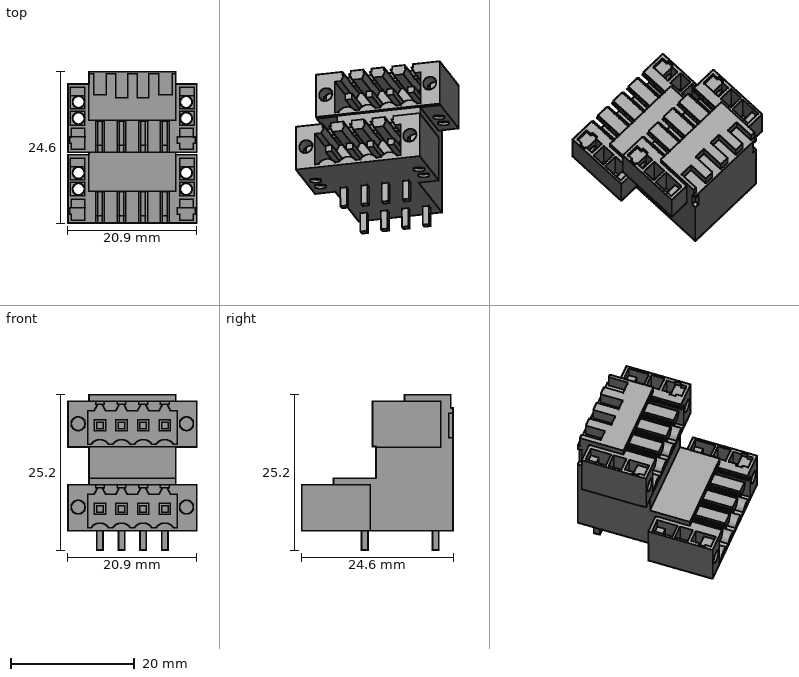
import cadquery as cq

POLES = 4
PITCH = 3.5
LEVEL_STEP_Y = 11.47
LEVEL_STEP_Z = 13.5
LEVELS = [(0, 0), (LEVEL_STEP_Y, LEVEL_STEP_Z)]

BLOCK_WIDTH = 20.9
BLOCK_DEPTH = 11.1
BLOCK_HEIGHT = 7.48
LIP_RELIEF = 0.1

TOWER_WIDTH = 14.05
TOWER_BACK = 24.55
TOWER_FRONT = 12.05
COVER_FRONT = 5.17
COVER_TOP = 8.55
LEDGE_DEPTH = 0.38
LEDGE_Z = 19.9
TOWER_TOP = LEVEL_STEP_Z + COVER_TOP

BACK_SLOTS = [
    (-6.25, -4.25, 20.85),
    (-2.7, -0.78, 20.34),
    (0.78, 2.7, 20.34),
    (4.25, 6.48, 20.85),
]

EDGE_NOTCH_WIDTH = 0.73
EDGE_NOTCH_BOTTOM = 15.07
EDGE_NOTCH_TOP = 19.05

CAVITY_WIDTH = 14.46
CAVITY_DEPTH = 8.57
CAVITY_FLOOR = 0.53
CAVITY_CEILING = 5.9
RIDGE_WIDTH = 2.77
RIDGE_HEIGHT = 0.73
KEYWAY_MOUTH = 1.9
KEYWAY_NECK = 0.75
KEYWAY_SLOT_WIDTH = 1.4
KEYWAY_SLOT_DEPTH = 5.07
KEYWAY_NECK_Z = 6.95
PIN_RECESS_WIDTH = 1.81
PIN_RECESS_HEIGHT = 1.76
PIN_RECESS_DEPTH = 0.5

POCKET_INNER = 7.69
POCKET_OUTER = 10.05
REAR_POCKET = (7.05, 10.55)
MIDDLE_POCKET = (4.4, 6.63)
NUT_POCKET = (0.5, 3.9)
NUT_POCKET_OUTER = 9.85
POCKET_FLOOR = CAVITY_FLOOR
REAR_SHELF_FRONT = 9.17
REAR_SHELF_Z = 5.75
NUT_SEAT_BACK = 2.52
NUT_SEAT_Z = 6.7
NUT_NOTCH_FRONT = 1.49
NUT_NOTCH_OUTER = 10.15
NUT_NOTCH_INNER = 7.3
DRAIN_RADIUS = 0.93
DRAIN_X = 8.72
DRAIN_Y = (5.52, 8.16)
SCREW_RADIUS = 1.1
SCREW_X = 8.77
SCREW_Z = 3.83

PIN_SIZE = 1.05
PIN_TIP = 1.18
PIN_Z = 3.55
PIN_LEG_Y = 10.23
PIN_TAIL = 3.15

PIN_X = [(i - (POLES - 1) / 2) * PITCH for i in range(POLES)]


def box(x_range, y_range, z_range):
    """Axis-aligned box between the given limits."""
    size = [end - start for start, end in (x_range, y_range, z_range)]
    corner = (x_range[0], y_range[0], z_range[0])
    return cq.Workplane("XY").box(*size, centered=False).translate(corner)


def centred(middle, width):
    """Limits of a width centred on a middle position."""
    return middle - width / 2, middle + width / 2


def mating_face():
    """Sketch plane on the mating face, with local axes along X and Z."""
    return cq.Workplane("XZ")


def tower():
    profile = [
        (BLOCK_DEPTH, 0),
        (TOWER_BACK, 0),
        (TOWER_BACK, LEDGE_Z),
        (TOWER_BACK - LEDGE_DEPTH, LEDGE_Z),
        (TOWER_BACK - LEDGE_DEPTH, TOWER_TOP),
        (LEVEL_STEP_Y + COVER_FRONT, TOWER_TOP),
        (LEVEL_STEP_Y + COVER_FRONT, LEVEL_STEP_Z + BLOCK_HEIGHT),
        (TOWER_FRONT, LEVEL_STEP_Z + BLOCK_HEIGHT),
        (TOWER_FRONT, COVER_TOP),
        (COVER_FRONT, COVER_TOP),
        (COVER_FRONT, BLOCK_HEIGHT),
        (BLOCK_DEPTH, BLOCK_HEIGHT),
    ]
    return cq.Workplane("YZ").polyline(profile).close().extrude(TOWER_WIDTH / 2, both=True)


def block():
    return box(centred(0, BLOCK_WIDTH), (0, BLOCK_DEPTH), (0, BLOCK_HEIGHT))


def front_lip_relief():
    """Thin cut under the part of the upper block that overhangs the tower wall."""
    return box(
        centred(0, BLOCK_WIDTH),
        (LEVEL_STEP_Y, TOWER_FRONT),
        (LEVEL_STEP_Z, LEVEL_STEP_Z + LIP_RELIEF),
    )


def floor_ridge(x):
    """Rounded ridge along the cavity floor below one pin."""
    return (
        mating_face()
        .moveTo(x - RIDGE_WIDTH / 2, CAVITY_FLOOR)
        .threePointArc((x, CAVITY_FLOOR + RIDGE_HEIGHT), (x + RIDGE_WIDTH / 2, CAVITY_FLOOR))
        .close()
        .extrude(-CAVITY_DEPTH)
    )


def keyway(x):
    """Flared groove in the cavity ceiling with a slot open to the block top."""
    flare = (
        mating_face()
        .polyline([
            (x - KEYWAY_MOUTH / 2, CAVITY_CEILING),
            (x + KEYWAY_MOUTH / 2, CAVITY_CEILING),
            (x + KEYWAY_NECK / 2, KEYWAY_NECK_Z),
            (x - KEYWAY_NECK / 2, KEYWAY_NECK_Z),
        ])
        .close()
        .extrude(-CAVITY_DEPTH)
    )
    slot = box(
        centred(x, KEYWAY_SLOT_WIDTH),
        (0, KEYWAY_SLOT_DEPTH),
        (KEYWAY_NECK_Z, BLOCK_HEIGHT),
    )
    return flare.union(slot)


def pin_recess(x):
    """Square recess around a pin where it enters the cavity back wall."""
    return box(
        centred(x, PIN_RECESS_WIDTH),
        (CAVITY_DEPTH, CAVITY_DEPTH + PIN_RECESS_DEPTH),
        centred(PIN_Z, PIN_RECESS_HEIGHT),
    )


def plug_cavity():
    cavity = box(centred(0, CAVITY_WIDTH), (0, CAVITY_DEPTH), (CAVITY_FLOOR, CAVITY_CEILING))
    for x in PIN_X:
        cavity = cavity.cut(floor_ridge(x))
    for x in PIN_X:
        cavity = cavity.union(keyway(x)).union(pin_recess(x))
    return cavity


def flange_pockets():
    """Pockets and holes of the +X flange, without the inner nut notch."""
    pocket_x = (POCKET_INNER, POCKET_OUTER)
    deep = (POCKET_FLOOR, BLOCK_HEIGHT)
    rear_front, rear_back = REAR_POCKET
    nut_front, nut_back = NUT_POCKET
    rear = box(pocket_x, (rear_front, REAR_SHELF_FRONT), deep)
    rear_shelf = box(pocket_x, (REAR_SHELF_FRONT, rear_back), (REAR_SHELF_Z, BLOCK_HEIGHT))
    middle = box(pocket_x, MIDDLE_POCKET, deep)
    nut_well = box((POCKET_INNER, NUT_POCKET_OUTER), (NUT_SEAT_BACK, nut_back), deep)
    nut_seat = box(
        (POCKET_INNER, NUT_POCKET_OUTER),
        (nut_front, NUT_SEAT_BACK),
        (NUT_SEAT_Z, BLOCK_HEIGHT),
    )
    outer_notch = nut_notch(POCKET_INNER, NUT_NOTCH_OUTER)
    drains = (
        cq.Workplane("XY")
        .pushPoints([(DRAIN_X, y) for y in DRAIN_Y])
        .circle(DRAIN_RADIUS)
        .extrude(BLOCK_HEIGHT / 2)
    )
    screw_hole = mating_face().center(SCREW_X, SCREW_Z).circle(SCREW_RADIUS).extrude(-NUT_SEAT_BACK)
    pockets = rear.union(rear_shelf).union(middle).union(nut_well).union(nut_seat)
    return pockets.union(outer_notch).union(drains).union(screw_hole)


def nut_notch(inner_x, outer_x):
    """Slot for the edge of a nut, level with the nut seat."""
    return box(
        (inner_x, outer_x),
        (NUT_NOTCH_FRONT, NUT_SEAT_BACK),
        (NUT_SEAT_Z, BLOCK_HEIGHT),
    )


def level_openings():
    """Everything cut from one connector level."""
    right_flange = flange_pockets()
    left_flange = right_flange.mirror("YZ")
    inner_notch = nut_notch(NUT_NOTCH_INNER, POCKET_INNER)
    return [plug_cavity(), right_flange, left_flange, inner_notch]


def back_slots():
    slots = cq.Workplane("XY")
    for left, right, front in BACK_SLOTS:
        slots = slots.add(box((left, right), (front, TOWER_BACK), (LEDGE_Z, TOWER_TOP)))
    return slots.combine()


def edge_notches():
    """Notches in both rear vertical edges of the tower."""
    corner = TOWER_WIDTH / 2
    notch = box(
        (corner - EDGE_NOTCH_WIDTH, corner),
        (TOWER_BACK - EDGE_NOTCH_WIDTH, TOWER_BACK),
        (EDGE_NOTCH_BOTTOM, EDGE_NOTCH_TOP),
    )
    return notch.union(notch.mirror("YZ"))


def build_housing():
    body = tower()
    for y, z in LEVELS:
        body = body.union(block().translate((0, y, z)))
    body = body.cut(front_lip_relief()).cut(back_slots()).cut(edge_notches())
    for opening in level_openings():
        for y, z in LEVELS:
            body = body.cut(opening.translate((0, y, z)))
    return body


def contact_pin(x, level_y, level_z):
    """Square pin running back from the mating side, then down through the board plane."""
    across = centred(x, PIN_SIZE)
    pin_z = centred(level_z + PIN_Z, PIN_SIZE)
    leg_y = centred(level_y + PIN_LEG_Y, PIN_SIZE)
    contact = box(across, (level_y + PIN_TIP, leg_y[1]), pin_z)
    leg = box(across, leg_y, (-PIN_TAIL, pin_z[1]))
    return contact.union(leg)


pins = [contact_pin(x, y, z) for y, z in LEVELS for x in PIN_X]
housing = build_housing()
for pin in pins:
    housing = housing.cut(pin)

result = cq.Compound.makeCompound([housing.solids().val(), *[pin.solids().val() for pin in pins]])